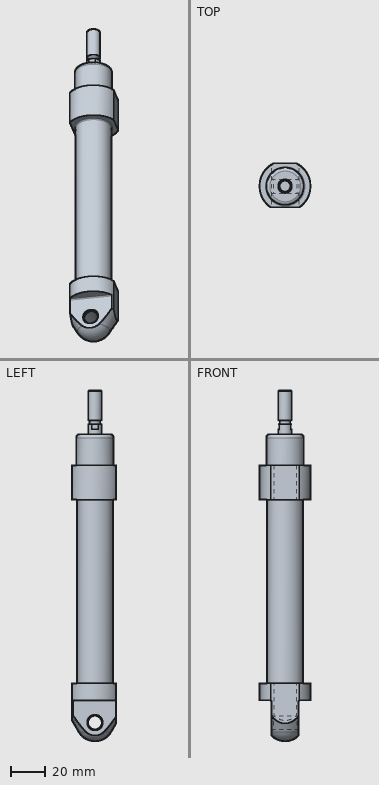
import cadquery as cq
import math


nose_ball_radius = 11.0
nose_cone_half_angle = 30.0
clevis_width = 16.0
pin_hole_diameter = 8.0
pin_hole_chamfer_depth = 1.0
pin_hole_chamfer_half_angle = 30.0

cap_diameter = 30.0
front_flat_y = -12.4
back_flat_y = 13.5
end_cap_bottom = 13.0
end_cap_height = 10.0
head_height = 20.0
head_top = 150.7

barrel_diameter = 21.27
neck_diameter = 22.0
neck_length = 18.3
neck_fillet = 2.0
root_fillet = 0.5

rod_top = 194.8
rod_diameter = 8.0
rod_chamfer = 0.8
thread_length = 17.7
undercut_diameter = 6.4
undercut_length = 2.3
undercut_fillet = 0.5
flats_width = 7.0
flats_length = 3.0

end_cap_top = end_cap_bottom + end_cap_height
head_bottom = head_top - head_height
neck_top = head_top + neck_length


def cylinder(diameter, bottom, top):
    """Upright cylinder on the Z axis between two heights."""
    return cq.Workplane("XY").workplane(offset=bottom).circle(diameter / 2).extrude(top - bottom)


def make_cap(bottom, top):
    """Round cap trimmed by the front and back flats."""
    flats = (
        cq.Workplane("XY")
        .workplane(offset=bottom)
        .center(0, (front_flat_y + back_flat_y) / 2)
        .rect(cap_diameter, back_flat_y - front_flat_y)
        .extrude(top - bottom)
    )
    return cylinder(cap_diameter, bottom, top).intersect(flats)


def make_clevis():
    """Single-lug clevis: a cap-shaped bar, rounded below by a cone and a ball, slimmed and drilled."""
    angle = math.radians(nose_cone_half_angle)
    tangent_radius = nose_ball_radius * math.cos(angle)
    tangent_height = -nose_ball_radius * math.sin(angle)
    cap_radius = cap_diameter / 2
    cone_top = tangent_height + (cap_radius - tangent_radius) / math.tan(angle)
    mid_angle = (math.pi / 2 + angle) / 2

    rounded_envelope = (
        cq.Workplane("XZ")
        .moveTo(0, -nose_ball_radius)
        .threePointArc(
            (nose_ball_radius * math.cos(mid_angle), -nose_ball_radius * math.sin(mid_angle)),
            (tangent_radius, tangent_height),
        )
        .lineTo(cap_radius, cone_top)
        .lineTo(cap_radius, end_cap_bottom)
        .lineTo(0, end_cap_bottom)
        .close()
        .revolve(360, (0, 0, 0), (0, 1, 0))
    )
    lug_height = end_cap_bottom + nose_ball_radius
    lug = (
        cq.Workplane("XY")
        .workplane(offset=-nose_ball_radius)
        .rect(clevis_width, cap_diameter)
        .extrude(lug_height)
    )
    clevis = make_cap(-nose_ball_radius, end_cap_bottom).intersect(rounded_envelope).intersect(lug)

    pin_hole = cq.Workplane("YZ").circle(pin_hole_diameter / 2).extrude(clevis_width / 2, both=True)
    mouth_radius = pin_hole_diameter / 2 + pin_hole_chamfer_depth * math.tan(
        math.radians(pin_hole_chamfer_half_angle)
    )
    clevis = clevis.cut(pin_hole)
    for side in (-1, 1):
        mouth = cq.Solid.makeCone(
            mouth_radius,
            pin_hole_diameter / 2,
            pin_hole_chamfer_depth,
            pnt=cq.Vector(side * clevis_width / 2, 0, 0),
            dir=cq.Vector(-side, 0, 0),
        )
        clevis = clevis.cut(cq.Workplane(obj=mouth))
    return clevis


def make_housing():
    """Barrel with its clevis end cap, head and neck, all one body."""
    barrel = cylinder(barrel_diameter, end_cap_top, head_bottom)
    neck = cylinder(neck_diameter, head_top, neck_top).faces(">Z").edges().fillet(neck_fillet)
    housing = (
        make_clevis()
        .union(make_cap(end_cap_bottom, end_cap_top))
        .union(barrel)
        .union(make_cap(head_bottom, head_top))
        .union(neck)
    )
    root_edge_centers = (
        (0, 0, end_cap_top),
        (0, 0, head_bottom),
        (0, 0, head_top),
        (clevis_width / 2, 0, end_cap_bottom),
        (-clevis_width / 2, 0, end_cap_bottom),
    )
    for center in root_edge_centers:
        housing = housing.edges(cq.selectors.NearestToPointSelector(center)).fillet(root_fillet)
    return housing


def make_rod():
    """Piston rod standing on the neck: threaded tip, undercut and wrench flats."""
    undercut_top = rod_top - thread_length
    undercut_bottom = undercut_top - undercut_length
    flats_bottom = undercut_bottom - flats_length

    rod = cylinder(rod_diameter, neck_top, rod_top).faces(">Z").edges().chamfer(rod_chamfer)
    undercut = cylinder(rod_diameter, undercut_bottom, undercut_top).cut(
        cylinder(undercut_diameter, undercut_bottom, undercut_top)
    )
    undercut = undercut.edges(cq.selectors.RadiusNthSelector(0)).fillet(undercut_fillet)
    across_flats = (
        cq.Workplane("XY")
        .workplane(offset=flats_bottom)
        .rect(flats_width, rod_diameter)
        .extrude(flats_length)
    )
    flats = cylinder(rod_diameter, flats_bottom, undercut_bottom).cut(across_flats)
    return rod.cut(undercut).cut(flats)


housing = make_housing()
rod = make_rod()

result = cq.Compound.makeCompound([housing.val(), rod.val()])